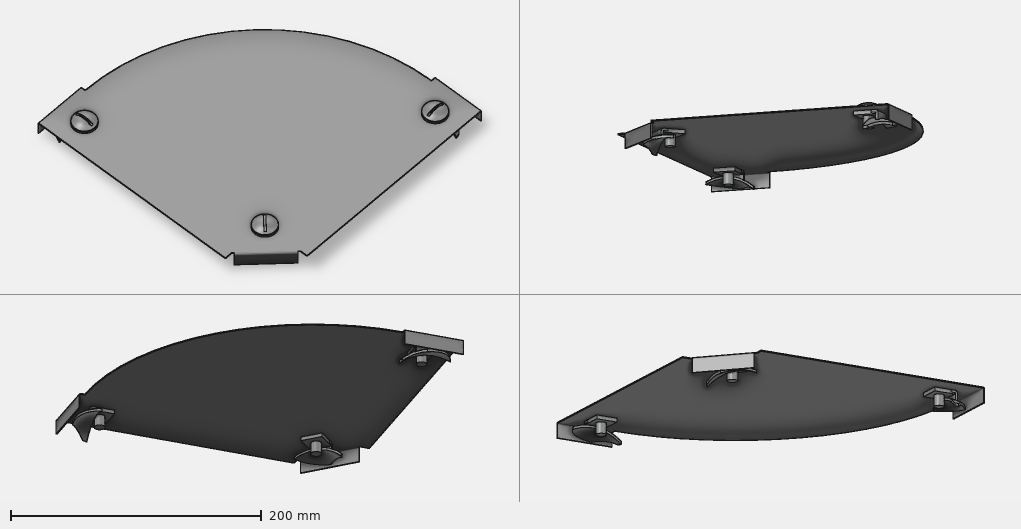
import cadquery as cq
import math

side = 250.7
sheet = 1.0
bend_radius = 2.0
flange_depth = 13.0
flange_length = 50.1
arc_radius = 195.5
corner_cut = 46.1
cut_edge = 7.3
corner_round = 0.8
corner_flange_width = 51.2

edge_near = 25.0
edge_far = 223.2
corner_offset = 45.1

fasteners = [
    (-edge_far, edge_near, 0),
    (-edge_near, edge_far, -90),
    (-corner_offset, corner_offset, 135),
]

head_radius = 11.0
head_rim_height = 2.0
dome_radius = 10.8
dome_base = 2.8
head_height = 6.5
slot_width = 2.0
slot_depth = 2.3
shank_radius = 4.3
shank_end = -13.8

washer_side = 18.3
washer_bottom = -4.3

latch_sheet = 2.0
tab_inset = 3.3
arm_reach = 11.8
arm_bend = 2.5
arm_end = -10.8
blade_radius = 21.8
blade_chord = 4.8
blade_chord_turn = 175.0
blade_tilt = 10.5
tilt_axis_turn = -28.0
blade_flat = 18.8
blade_flat_turn = 137.0
blade_apex = -6.0
blade_dome_radius = 40.0


def make_flange(width):
    """Flange with its outer face on Y = 0, bent down from a sheet on its +Y side, centred on X."""
    profile = (
        cq.Workplane("YZ")
        .moveTo(bend_radius, 0)
        .radiusArc((0, -bend_radius), -bend_radius)
        .lineTo(0, -flange_depth)
        .lineTo(sheet, -flange_depth)
        .lineTo(sheet, -bend_radius)
        .radiusArc((bend_radius, -sheet), bend_radius - sheet)
        .close()
    )
    return profile.extrude(width / 2, both=True)


def make_cover():
    plate_side = side - bend_radius
    arc_end = flange_length + arc_radius
    arc_middle = flange_length + arc_radius * math.sqrt(0.5)
    cut_sum = corner_cut + cut_edge
    plate = (
        cq.Workplane("XY")
        .moveTo(-corner_cut, 0)
        .lineTo(-plate_side, 0)
        .lineTo(-plate_side, flange_length)
        .lineTo(-arc_end, flange_length)
        .threePointArc((-arc_middle, arc_middle), (-flange_length, arc_end))
        .lineTo(-flange_length, plate_side)
        .lineTo(0, plate_side)
        .lineTo(0, corner_cut)
        .lineTo(-cut_edge, corner_cut)
        .lineTo(-corner_cut, cut_edge)
        .close()
        .extrude(-sheet)
    )
    for corner in [(-corner_cut, 0), (0, corner_cut)]:
        plate = plate.edges(cq.NearestToPointSelector((*corner, -sheet / 2))).fillet(corner_round)

    side_flange = make_flange(flange_length).rotate((0, 0, 0), (0, 0, 1), -90)
    back_flange = make_flange(flange_length).rotate((0, 0, 0), (0, 0, 1), 180)
    corner_flange = make_flange(corner_flange_width).rotate((0, 0, 0), (0, 0, 1), 45)
    corner_flange_place = cut_sum / 2 - bend_radius * math.sqrt(0.5)
    cover = (
        plate.union(side_flange.translate((-side, flange_length / 2, 0)))
        .union(back_flange.translate((-flange_length / 2, side, 0)))
        .union(corner_flange.translate((-corner_flange_place, corner_flange_place, 0)))
    )
    for x, y, _ in fasteners:
        hole = cq.Workplane("XY").center(x, y).circle(shank_radius).extrude(-sheet)
        cover = cover.cut(hole)
    return cover


def make_screw():
    """Slotted domed head standing on the cover, with a plain shank through it."""
    dome_rise = head_height - dome_base
    sphere_radius = (dome_radius**2 + dome_rise**2) / (2 * dome_rise)
    screw = (
        cq.Workplane("XZ")
        .moveTo(0, head_height)
        .radiusArc((dome_radius, dome_base), sphere_radius)
        .lineTo(head_radius, head_rim_height)
        .lineTo(head_radius, 0)
        .lineTo(shank_radius, 0)
        .lineTo(shank_radius, shank_end)
        .lineTo(0, shank_end)
        .close()
        .revolve(360, (0, 0, 0), (0, 1, 0))
    )
    slot = (
        cq.Workplane("XY", origin=(0, 0, head_height - slot_depth))
        .rect(2 * head_radius, slot_width)
        .extrude(slot_depth)
    )
    return screw.cut(slot)


def make_washer():
    """Square washer against the underside of the cover, stepped down along -X for the latch tab."""
    washer = (
        cq.Workplane("XY", origin=(0, 0, washer_bottom))
        .rect(washer_side, washer_side)
        .circle(shank_radius)
        .extrude(-sheet - washer_bottom)
    )
    step = (
        cq.Workplane("XY", origin=(-washer_side / 2, 0, -sheet))
        .rect(2 * tab_inset, washer_side)
        .extrude(-latch_sheet)
    )
    return washer.cut(step)


def make_arm():
    """Tab in the washer step, bent down into the arm that carries the blade."""
    tab_end = tab_inset - washer_side / 2
    return (
        cq.Workplane("XZ")
        .moveTo(tab_end, -sheet)
        .lineTo(arm_bend - arm_reach, -sheet)
        .radiusArc((-arm_reach, -sheet - arm_bend), -arm_bend)
        .lineTo(-arm_reach, arm_end)
        .lineTo(latch_sheet - arm_reach, arm_end)
        .lineTo(latch_sheet - arm_reach, -sheet - arm_bend)
        .radiusArc((arm_bend - arm_reach, -sheet - latch_sheet), arm_bend - latch_sheet)
        .lineTo(tab_end, -sheet - latch_sheet)
        .close()
        .extrude(washer_side / 2, both=True)
    )


def beyond(distance, turn):
    """Everything farther than a distance from the Z axis, in the direction turned from +X about Z."""
    reach = 4 * blade_dome_radius
    block = cq.Workplane("XY").box(reach, reach, reach)
    return block.translate((distance + reach / 2, 0, 0)).rotate((0, 0, 0), (0, 0, 1), turn)


def dome_ball(radius):
    """Ball about the centre of the blade's spherical shell, whose outside passes through the origin."""
    return cq.Workplane("XY").sphere(radius).translate((0, 0, -blade_dome_radius))


def tilt_blade(shape):
    """Tilt a shape down towards the blade's foot at +Y and lower it to the height of the blade."""
    axis_angle = math.radians(tilt_axis_turn)
    axis = (math.cos(axis_angle), math.sin(axis_angle), 0)
    return shape.rotate((0, 0, 0), axis, -blade_tilt).translate((0, 0, blade_apex))


def make_latch():
    """Bent arm joined to a blade cut from a spherical shell, with a straight edge beside its foot."""
    disc = cq.Workplane("XY").circle(blade_radius).extrude(-blade_dome_radius)
    disc = disc.cut(beyond(blade_flat, blade_flat_turn))
    blade = tilt_blade(disc.intersect(dome_ball(blade_dome_radius)))
    blade = blade.intersect(beyond(blade_chord, blade_chord_turn))
    hollow = tilt_blade(dome_ball(blade_dome_radius - latch_sheet))
    return blade.union(make_arm()).cut(hollow)


def place(body, fastener):
    """Turn a fastener body about its axis and move it to its place on the cover."""
    x, y, turn = fastener
    return body.rotate((0, 0, 0), (0, 0, 1), turn).translate((x, y, 0))


cover = make_cover()
screws = [place(make_screw(), fastener) for fastener in fasteners]
washers = [place(make_washer(), fastener) for fastener in fasteners]
latches = [place(make_latch(), fastener) for fastener in fasteners]

result = cq.Compound.makeCompound([cover.val(), *[body.val() for body in screws + washers + latches]])